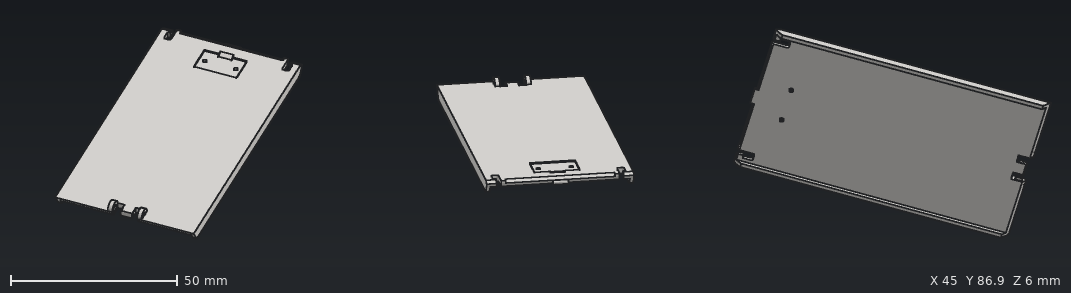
import cadquery as cq

width = 45.0
total_length = 86.9
latch_reach = 0.8
cover_length = total_length - latch_reach
plate_thickness = 2.0
rail_height = 4.0
rail_width = 1.2
hinge_end_run = 2.5
latch_end_run = 2.0
latch_end_bulge = (0.5, 2.2)

bevel_run = 1.3
bevel_drop = 0.8
bevel_half_width = 16.7

slot_inner = 18.1
slot_outer = 20.25
slot_end = 80.9
slot_radius = 0.6
lip_width = 0.9
lip_length = 2.1

ring_inner_side = 4.0
ring_width = 1.5
ring_radius = 2.35
ring_bore_radius = 1.1
ring_y = ring_radius
lug_height = 2.0
ring_z = lug_height - ring_radius
cutout_depth = 4.7
tongue_half_width = 1.8
tongue_tip = 1.4
tongue_tip_bulge = 0.35
tongue_root = cutout_depth + 0.9
nub_y = 3.2
nub_base_radius = 0.8
nub_height = 0.5

pocket_width = 13.8
pocket_start = 72.1
pocket_end = 80.55
pocket_depth = 0.4
pin_offset = 5.0
pin_diameter = 1.2
pin_y = 76.3
ramp_width = 4.35
ramp_start = 79.7
ramp_end = 81.7
ramp_depth = 1.3

latch_width = 4.8
latch_top = -0.9
latch_bottom = -2.0
latch_rounding = 0.5
latch_root = 1.7


def box(x0, x1, y0, y1, z0, z1):
    return cq.Workplane("XY").box(x1 - x0, y1 - y0, z1 - z0, centered=False).translate((x0, y0, z0))


def side_profile(x_start):
    """Sketch plane whose local axes are Y and Z, extruding towards +X."""
    return cq.Workplane("YZ", origin=(x_start, 0, 0))


def make_cover():
    inset, depth = latch_end_bulge
    body = (
        side_profile(-width / 2)
        .lineTo(cover_length, 0)
        .lineTo(cover_length, -bevel_drop)
        .threePointArc((cover_length - inset, -depth), (cover_length - latch_end_run, -rail_height))
        .lineTo(hinge_end_run, -rail_height)
        .close()
        .extrude(width)
    )
    inner_half = width / 2 - rail_width
    return body.cut(box(-inner_half, inner_half, 0, total_length, -rail_height, -plate_thickness))


def edge_bevel(x0, x1):
    return (
        side_profile(x0)
        .moveTo(cover_length - bevel_run, 0)
        .lineTo(cover_length, 0)
        .lineTo(cover_length, -bevel_drop)
        .close()
        .extrude(x1 - x0)
    )


def corner_slot():
    slot = box(slot_inner, slot_outer, slot_end, total_length, -rail_height, 0)
    slot = slot.edges("|Z and <Y").fillet(slot_radius)
    lip_start = cover_length - lip_length
    lip = box(slot_outer - lip_width, slot_outer, lip_start, total_length, -rail_height, 0)
    return slot.cut(lip)


def hinge_cylinder(x_start, x_end, radius):
    return side_profile(x_start).center(ring_y, ring_z).circle(radius).extrude(x_end - x_start)


def make_tongue():
    tip_shoulder = tongue_tip + tongue_tip_bulge
    return (
        side_profile(-tongue_half_width)
        .moveTo(tongue_root, 0)
        .lineTo(tip_shoulder, 0)
        .threePointArc((tongue_tip, -plate_thickness / 2), (tip_shoulder, -plate_thickness))
        .lineTo(tongue_root, -plate_thickness)
        .close()
        .extrude(2 * tongue_half_width)
    )


def make_nub(side):
    """Spherical cap standing on the tongue side, with the given base radius and height."""
    nub_radius = (nub_base_radius**2 + nub_height**2) / (2 * nub_height)
    nub_center_x = tongue_half_width + nub_height - nub_radius
    ball = cq.Workplane("XY").sphere(nub_radius).rotate((0, 0, 0), (0, 1, 0), 90)
    return ball.translate((side * nub_center_x, nub_y, -plate_thickness / 2))


def make_pocket():
    half = pocket_width / 2
    pocket = box(-half, half, pocket_start, pocket_end, -pocket_depth, 0)
    ramp = (
        side_profile(-ramp_width / 2)
        .moveTo(ramp_end, 0)
        .lineTo(ramp_start, 0)
        .lineTo(ramp_start, -ramp_depth)
        .close()
        .extrude(ramp_width)
    )
    pins = (
        cq.Workplane("XY")
        .pushPoints([(-pin_offset, pin_y), (pin_offset, pin_y)])
        .circle(pin_diameter / 2)
        .extrude(-plate_thickness)
    )
    return pocket.union(ramp).union(pins)


def make_latch():
    half = latch_width / 2
    nose = box(-half, half, cover_length - latch_root, total_length, latch_bottom, latch_top)
    return nose.edges(">Y and >Z").fillet(latch_rounding)


result = make_cover()

result = result.cut(edge_bevel(-bevel_half_width, bevel_half_width))
for x0, x1 in ((-width / 2, -slot_inner), (slot_inner, width / 2)):
    result = result.cut(edge_bevel(x0, x1))
slot = corner_slot()
result = result.cut(slot).cut(slot.mirror("YZ"))
result = result.union(make_latch())

ring_outer_side = ring_inner_side + ring_width
cutout = box(-ring_inner_side, ring_inner_side, 0, cutout_depth, -rail_height, 0)
result = result.cut(cutout.cut(make_tongue()))
for x0, x1 in ((-ring_outer_side, -ring_inner_side), (ring_inner_side, ring_outer_side)):
    above_plate = box(x0, x1, 0, 2 * ring_radius, 0, lug_height)
    lug = hinge_cylinder(x0, x1, ring_radius).intersect(above_plate)
    result = result.union(lug).cut(hinge_cylinder(x0, x1, ring_bore_radius))
for side in (-1, 1):
    result = result.union(make_nub(side))

result = result.cut(make_pocket())